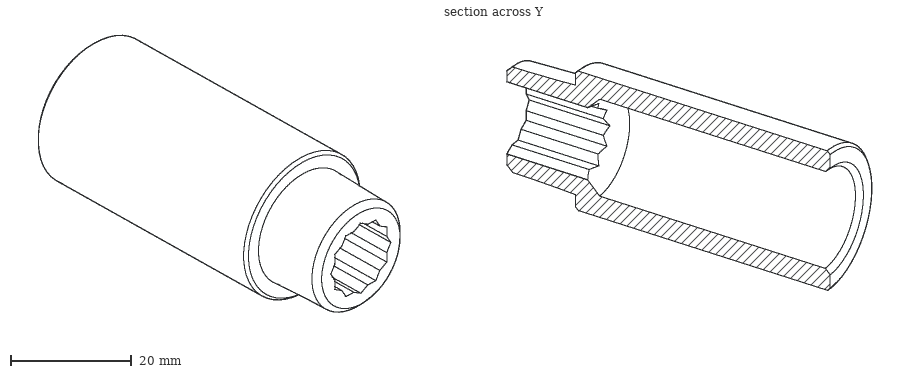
import cadquery as cq
import math

total_length = 63.5
body_diameter = 27.0
body_chamfer = 0.6
neck_length = 13.45
neck_root_diameter = 21.2
neck_taper = 1 / 16
neck_chamfer = 1.15

bore_diameter = 18.6
bore_chamfer = 0.95
drive_across_flats = 12.0
drive_flats = 6
drive_length = 15.9
bore_bottom_half_angle = 45.0

body_length = total_length - neck_length
drive_corner_diameter = drive_across_flats / math.cos(math.pi / drive_flats)


def make_body():
    return (
        cq.Workplane("YZ")
        .circle(body_diameter / 2)
        .extrude(body_length)
        .faces("<X or >X")
        .chamfer(body_chamfer)
    )


def make_neck():
    root_radius = neck_root_diameter / 2
    taper_length = neck_length - neck_chamfer
    tip_radius = root_radius - taper_length * neck_taper / 2
    profile = [
        (body_length, 0),
        (body_length, root_radius),
        (body_length + taper_length, tip_radius),
        (total_length, tip_radius - neck_chamfer),
        (total_length, 0),
    ]
    return cq.Workplane("XY").polyline(profile).close().revolve(360, (0, 0, 0), (1, 0, 0))


def make_bore():
    """Chamfered round bore ending in a full cone."""
    radius = bore_diameter / 2
    cone_length = radius / math.tan(math.radians(bore_bottom_half_angle))
    corner_inset = radius - drive_corner_diameter / 2
    cone_start = total_length - drive_length - corner_inset * cone_length / radius
    profile = [
        (0, 0),
        (0, radius + bore_chamfer),
        (bore_chamfer, radius),
        (cone_start, radius),
        (cone_start + cone_length, 0),
    ]
    return cq.Workplane("XY").polyline(profile).close().revolve(360, (0, 0, 0), (1, 0, 0))


def make_drive_hole():
    """Two hexagonal prisms, one turned to put its corners between the other's."""
    hexagon = cq.Workplane("YZ").polygon(drive_flats, drive_corner_diameter).extrude(total_length)
    half_pitch = 180 / drive_flats
    return hexagon.union(hexagon.rotate((0, 0, 0), (1, 0, 0), half_pitch))


result = make_body().union(make_neck()).cut(make_bore()).cut(make_drive_hole())